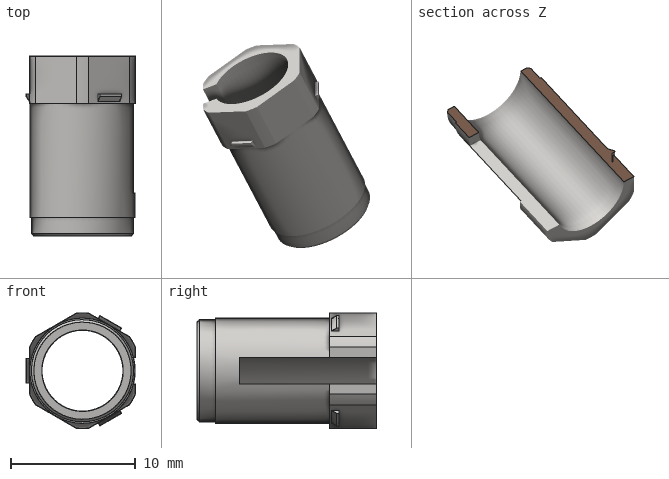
import cadquery as cq

length = 14.45

head_length = 3.8
across_flats = 8.5
across_rounded_corners = 9.3

body_radius = 4.225
spigot_radius = 4.1
spigot_length = 1.5
end_chamfer_length = 0.23
end_chamfer_depth = 0.2
bore_radius = 3.25

slot_width = 2.15
slot_length = 11.0

tab_width = 2.0
tab_height = 0.28
tab_back_offset = 3.03
tab_crest_length = 0.19
tab_length = 0.62
tab_root_overlap = 0.2
tab_angles = (60, 180, 300)

head_start = length - head_length


def cylinder(radius, start, end):
    """Solid cylinder on the Y axis between two Y positions."""
    return cq.Workplane("XZ", origin=(0, start, 0)).circle(radius).extrude(start - end)


def make_sleeve():
    """Revolved body with a reduced, chamfered spigot at the plain end."""
    return (
        cq.Workplane("XY")
        .moveTo(0, 0)
        .lineTo(spigot_radius - end_chamfer_depth, 0)
        .lineTo(spigot_radius, end_chamfer_length)
        .lineTo(spigot_radius, spigot_length)
        .lineTo(body_radius, spigot_length)
        .lineTo(body_radius, length)
        .lineTo(0, length)
        .close()
        .revolve(360, (0, 0, 0), (0, 1, 0))
    )


def make_head():
    """Hexagon with flats facing +X and -X, its corners rounded by a coaxial cylinder."""
    hexagon = (
        cq.Workplane("XZ", origin=(0, head_start, 0))
        .polygon(6, across_flats, circumscribed=True)
        .extrude(-head_length)
    )
    return hexagon.intersect(cylinder(across_rounded_corners / 2, head_start, length))


def make_tab(angle):
    """Latch tab on the flat at the given angle about Y, ramping down towards the plain end."""
    flat = across_flats / 2
    back = length - tab_back_offset
    front = back - tab_length
    tab = (
        cq.Workplane("XY", origin=(0, 0, -tab_width / 2))
        .moveTo(flat - tab_root_overlap, back)
        .lineTo(flat + tab_height, back)
        .lineTo(flat + tab_height, back - tab_crest_length)
        .lineTo(flat, front)
        .lineTo(flat - tab_root_overlap, front)
        .close()
        .extrude(tab_width)
    )
    return tab.rotate((0, 0, 0), (0, 1, 0), angle)


def make_slot():
    """Cutter from the axis out through the +X wall, over the slot length."""
    return (
        cq.Workplane("XY", origin=(0, length - slot_length, 0))
        .box(across_flats, slot_length, slot_width, centered=(False, False, True))
    )


result = make_sleeve().union(make_head())
for tab_angle in tab_angles:
    result = result.union(make_tab(tab_angle))
result = result.cut(cylinder(bore_radius, 0, length)).cut(make_slot())